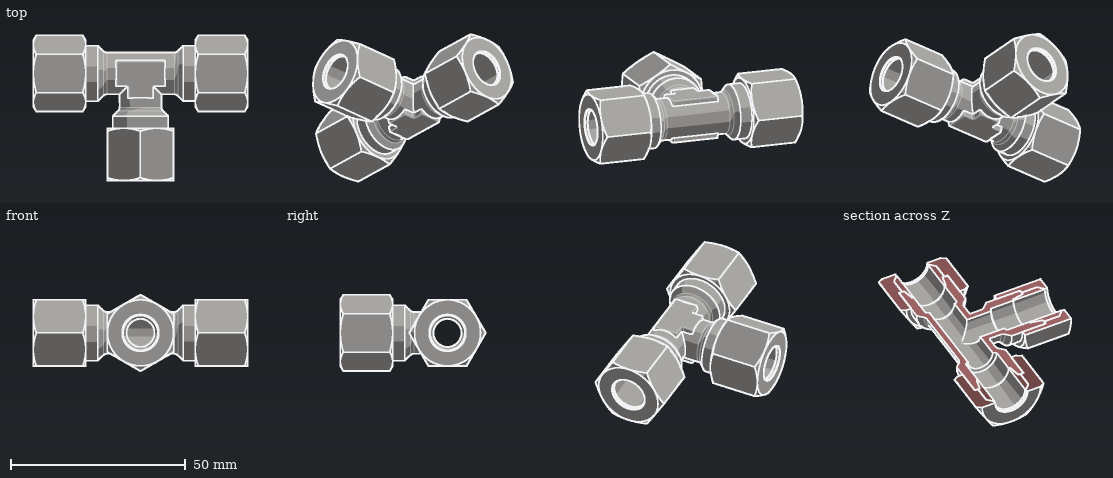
import cadquery as cq
import math

ARM_LENGTH = 30.7
ARM_ANGLES = (0, 180, 270)
BRANCH_ANGLE = 270

NECK_RADIUS = 6.0
THREAD_RADIUS = 8.0
THREAD_START = 12.2
SHOULDER_ANGLE = 45
THREAD_END = 23.3
SHOULDER_BLEND = 1.5
FLOW_RADIUS = 4.0
TUBE_RADIUS = 5.0
TUBE_STOP = 12.3
TUBE_STOP_HALF_ANGLE = 60

PAD_TOP = 6.25
PAD_REACH = 6.95
PAD_HALF_WIDTH = 3.5
PAD_CORNER = 0.5
PAD_DRAFT = 8
PAD_EDGE = 0.155

NUT_LENGTH = 15.05
NUT_ACROSS_CORNERS = 21.9
NUT_FACE_RADIUS = 9.45
CHAMFER_ANGLE = 30
MOUTH_RADIUS = 5.3
MOUTH_CHAMFER = 0.2

RING_RADIUS = 6.75
RING_DEPTH = 0.9
RING_CHAMFER = 0.09
CONE_HALF_ANGLE = 12
CONE_MOUTH_RADIUS = 6.15
NOSE_RADIUS = 5.35

NUT_START = ARM_LENGTH - NUT_LENGTH
NUT_BORE_RADIUS = MOUTH_RADIUS - MOUTH_CHAMFER
RING_BACK = ARM_LENGTH - RING_DEPTH
RING_BACK_CONE = RING_BACK - (RING_RADIUS - NUT_BORE_RADIUS)
NOSE_END = THREAD_END - (CONE_MOUTH_RADIUS - NOSE_RADIUS) / math.tan(math.radians(CONE_HALF_ANGLE))


def turned(points):
    """Revolve a closed (axial, radial) outline about the X axis."""
    return cq.Workplane("XY").polyline(points).close().revolve(360, (0, 0), (1, 0))


def on_arm(part, angle):
    return part.rotate((0, 0, 0), (0, 0, 1), angle)


def arm_outside():
    """Neck, blended shoulder and threaded end, as a solid bar."""
    half_turn = math.radians(SHOULDER_ANGLE) / 2
    corner = THREAD_START - (THREAD_RADIUS - NECK_RADIUS) / math.tan(math.radians(SHOULDER_ANGLE))
    tangent = SHOULDER_BLEND * math.tan(half_turn)
    blend_start = corner - tangent
    blend_middle = (
        blend_start + SHOULDER_BLEND * math.sin(half_turn),
        NECK_RADIUS + SHOULDER_BLEND * (1 - math.cos(half_turn)),
    )
    blend_end = (
        corner + tangent * math.cos(2 * half_turn),
        NECK_RADIUS + tangent * math.sin(2 * half_turn),
    )
    return (
        cq.Workplane("XY")
        .moveTo(0, 0)
        .lineTo(0, NECK_RADIUS)
        .lineTo(blend_start, NECK_RADIUS)
        .threePointArc(blend_middle, blend_end)
        .lineTo(THREAD_START, THREAD_RADIUS)
        .lineTo(THREAD_END, THREAD_RADIUS)
        .lineTo(THREAD_END, 0)
        .close()
        .revolve(360, (0, 0), (1, 0))
    )


def arm_bore():
    """Flow passage, conical tube stop, tube socket and seat for the cutting ring."""
    stop_start = TUBE_STOP - (TUBE_RADIUS - FLOW_RADIUS) / math.tan(math.radians(TUBE_STOP_HALF_ANGLE))
    return turned([
        (0, 0),
        (0, FLOW_RADIUS),
        (stop_start, FLOW_RADIUS),
        (TUBE_STOP, TUBE_RADIUS),
        (NOSE_END, TUBE_RADIUS),
        (NOSE_END, NOSE_RADIUS),
        (THREAD_END, CONE_MOUTH_RADIUS),
        (THREAD_END, 0),
    ])


def drafted_bar(length, width):
    """Block from the centre plane up to the pad face, given by its size at the face before rounding."""
    spread = 2 * PAD_TOP * math.tan(math.radians(PAD_DRAFT))
    return (
        cq.Workplane("XY")
        .rect(length + spread, width + spread)
        .extrude(PAD_TOP, taper=PAD_DRAFT)
    )


def pads():
    """T-shaped block whose ends stand proud of the necks above and below."""
    width = 2 * PAD_HALF_WIDTH
    stem_length = PAD_REACH + PAD_HALF_WIDTH
    along_run = drafted_bar(2 * PAD_REACH, width)
    along_branch = drafted_bar(width, stem_length).translate((0, PAD_HALF_WIDTH - stem_length / 2, 0))
    upper = along_run.union(along_branch).clean()
    upper = upper.edges("not #Z").fillet(PAD_CORNER)
    upper = upper.faces(">Z").edges().fillet(PAD_EDGE)
    return upper.union(upper.mirror("XY"))


def make_tee():
    tee = pads()
    for angle in ARM_ANGLES:
        tee = tee.union(on_arm(arm_outside(), angle))
    for angle in ARM_ANGLES:
        tee = tee.cut(on_arm(arm_bore(), angle))
    return tee


def make_nut(angle):
    """Hexagon nut; the run's nuts have flats facing up, the branch's nut has corners facing up."""
    corner_radius = NUT_ACROSS_CORNERS / 2
    chamfer = (corner_radius - NUT_FACE_RADIUS) * math.tan(math.radians(CHAMFER_ANGLE))
    hexagon = (
        cq.Workplane("YZ", origin=(NUT_START, 0, 0))
        .polygon(6, 2 * corner_radius)
        .extrude(NUT_LENGTH)
    )
    if angle == BRANCH_ANGLE:
        hexagon = hexagon.rotate((0, 0, 0), (1, 0, 0), 90)
    corner_limit = turned([
        (NUT_START, 0),
        (NUT_START, NUT_FACE_RADIUS),
        (NUT_START + chamfer, corner_radius),
        (ARM_LENGTH - chamfer, corner_radius),
        (ARM_LENGTH, NUT_FACE_RADIUS),
        (ARM_LENGTH, 0),
    ])
    cavity = turned([
        (NUT_START, 0),
        (NUT_START, THREAD_RADIUS),
        (THREAD_END, THREAD_RADIUS),
        (THREAD_END, RING_RADIUS),
        (RING_BACK_CONE, RING_RADIUS),
        (RING_BACK, NUT_BORE_RADIUS),
        (ARM_LENGTH - MOUTH_CHAMFER, NUT_BORE_RADIUS),
        (ARM_LENGTH, MOUTH_RADIUS),
        (ARM_LENGTH, 0),
    ])
    return on_arm(hexagon.intersect(corner_limit).cut(cavity), angle)


def make_ring(angle):
    """Tapered ring, nose in the tee's seat and back against the nut's inner cone."""
    ring = turned([
        (NOSE_END, TUBE_RADIUS),
        (NOSE_END, NOSE_RADIUS),
        (THREAD_END, CONE_MOUTH_RADIUS),
        (THREAD_END, RING_RADIUS),
        (RING_BACK_CONE, RING_RADIUS),
        (RING_BACK, NUT_BORE_RADIUS),
        (RING_BACK, TUBE_RADIUS + RING_CHAMFER),
        (RING_BACK - RING_CHAMFER, TUBE_RADIUS),
    ])
    return on_arm(ring, angle)


tee = make_tee()
nuts = [make_nut(angle) for angle in ARM_ANGLES]
rings = [make_ring(angle) for angle in ARM_ANGLES]

result = cq.Compound.makeCompound(
    [tee.val()] + [nut.val() for nut in nuts] + [ring.val() for ring in rings]
)